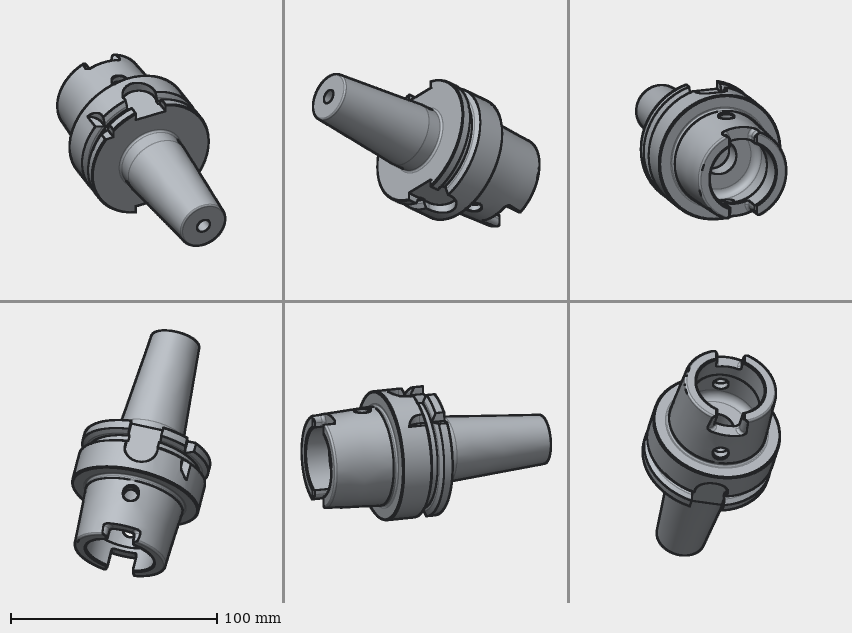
import math

import cadquery as cq


SHANK_LENGTH = 32.0
FLANGE_WIDTH = 26.0
NOSE_END = 85.0

SHANK_END = -SHANK_LENGTH
GAUGE_DIAMETER = 48.01
GAUGE_X = -6.3
TAPER_RATIO = 9.98
SHANK_END_ROUND = 1.0

NECK_DIAMETER = 48.04
RELIEF_START = -2.1
NECK_START = -1.4
RELIEF_ROUND = 0.8
FACE_RELIEF_DEPTH = 0.1
FACE_RELIEF_ANGLE = 8.0

FLANGE_DIAMETER = 63.0
FLANGE_FRONT_CHAMFER = 0.5
FLANGE_BACK_CHAMFER = 0.35
GROOVE_CENTER = 18.0
GROOVE_TOP_WIDTH = 6.7
GROOVE_SHOULDER_WIDTH = 3.8
GROOVE_SHOULDER_DIAMETER = 58.0
GROOVE_FLOOR_WIDTH = 3.0
GROOVE_FLOOR_DIAMETER = 55.0

COLLAR_DIAMETER = 32.0
COLLAR_FILLET = 1.0
NOSE_DIAMETER = 24.0
NOSE_HALF_ANGLE = 4.5
NOSE_ROUND = 0.8

BORE_DIAMETER = 34.0
BORE_CHAMFER = 0.5
CLAMP_EDGE_X = SHANK_END + 12.5
CLAMP_DIAMETER = 40.0
BORE_FLOOR_ROUND = 4.0
BORE_FLOOR_X = 0.0
SEAT_DIAMETER = 16.92
SEAT_DEPTH = 10.0
THROUGH_DIAMETER = 6.92

ACCESS_DIAMETER = 7.5
ACCESS_CHAMFER = 0.5
ACCESS_X = -9.0

DRIVE_WIDTH = 12.54
DRIVE_DEPTH_TOP = 6.0
DRIVE_DEPTH_BOTTOM = 10.0
DRIVE_FLARE_Z = 18.0
DRIVE_FLARE_RADIUS = 3.0
DRIVE_FLOOR_ROUND = 1.5
DRIVE_EDGE_CHAMFER = 0.9

KEYWAY_WIDTH = 16.0
KEYWAY_START = 5.0
KEYWAY_FLOOR = 26.5
NOTCH_WALL = 20.0

CUT_MARGIN = 5.0


def taper_radius(x):
    """Radius of the shank taper at axial position x."""
    return (GAUGE_DIAMETER + (x - GAUGE_X) / TAPER_RATIO) / 2


def make_body():
    """Outer shape of the holder, revolved about X."""
    flange_r = FLANGE_DIAMETER / 2
    neck_r = NECK_DIAMETER / 2
    collar_r = COLLAR_DIAMETER / 2
    nose_r = NOSE_DIAMETER / 2
    diagonal = math.sqrt(0.5)

    round_x = SHANK_END + SHANK_END_ROUND
    round_r = taper_radius(round_x) - SHANK_END_ROUND
    relief_x = FACE_RELIEF_DEPTH - RELIEF_ROUND
    relief_r = neck_r + RELIEF_ROUND
    face_relief_r = relief_r + FACE_RELIEF_DEPTH / math.tan(math.radians(FACE_RELIEF_ANGLE))
    fillet_x = FLANGE_WIDTH + COLLAR_FILLET
    fillet_r = collar_r + COLLAR_FILLET
    cone_start = NOSE_END - (collar_r - nose_r) / math.tan(math.radians(NOSE_HALF_ANGLE))
    nose_round_x = NOSE_END - NOSE_ROUND
    nose_round_r = nose_r + NOSE_ROUND * math.tan(math.radians(NOSE_HALF_ANGLE))

    profile = (
        cq.Workplane("XY")
        .moveTo(SHANK_END, 0)
        .lineTo(SHANK_END, round_r)
        .threePointArc(
            (round_x - SHANK_END_ROUND * diagonal, round_r + SHANK_END_ROUND * diagonal),
            (round_x, round_r + SHANK_END_ROUND),
        )
        .lineTo(RELIEF_START, taper_radius(RELIEF_START))
        .lineTo(NECK_START, neck_r)
        .lineTo(relief_x, neck_r)
        .threePointArc(
            (relief_x + RELIEF_ROUND * diagonal, relief_r - RELIEF_ROUND * diagonal),
            (FACE_RELIEF_DEPTH, relief_r),
        )
        .lineTo(0, face_relief_r)
        .lineTo(0, flange_r - FLANGE_FRONT_CHAMFER)
        .lineTo(FLANGE_FRONT_CHAMFER, flange_r)
        .lineTo(GROOVE_CENTER - GROOVE_TOP_WIDTH / 2, flange_r)
        .lineTo(GROOVE_CENTER - GROOVE_SHOULDER_WIDTH / 2, GROOVE_SHOULDER_DIAMETER / 2)
        .lineTo(GROOVE_CENTER - GROOVE_FLOOR_WIDTH / 2, GROOVE_FLOOR_DIAMETER / 2)
        .lineTo(GROOVE_CENTER + GROOVE_FLOOR_WIDTH / 2, GROOVE_FLOOR_DIAMETER / 2)
        .lineTo(GROOVE_CENTER + GROOVE_SHOULDER_WIDTH / 2, GROOVE_SHOULDER_DIAMETER / 2)
        .lineTo(GROOVE_CENTER + GROOVE_TOP_WIDTH / 2, flange_r)
        .lineTo(FLANGE_WIDTH - FLANGE_BACK_CHAMFER, flange_r)
        .lineTo(FLANGE_WIDTH, flange_r - FLANGE_BACK_CHAMFER)
        .lineTo(FLANGE_WIDTH, fillet_r)
        .threePointArc(
            (fillet_x - COLLAR_FILLET * diagonal, fillet_r - COLLAR_FILLET * diagonal),
            (fillet_x, collar_r),
        )
        .lineTo(cone_start, collar_r)
        .lineTo(nose_round_x, nose_round_r)
        .threePointArc(
            (nose_round_x + NOSE_ROUND * diagonal, nose_round_r - NOSE_ROUND * (1 - diagonal)),
            (NOSE_END, nose_round_r - NOSE_ROUND),
        )
        .lineTo(NOSE_END, 0)
        .close()
    )
    return profile.revolve(360, (0, 0, 0), (1, 0, 0))


def make_bore():
    """Stepped hollow inside the shank, with the through hole, revolved about X."""
    bore_r = BORE_DIAMETER / 2
    clamp_r = CLAMP_DIAMETER / 2
    seat_r = SEAT_DIAMETER / 2
    through_r = THROUGH_DIAMETER / 2
    round_x = BORE_FLOOR_X - BORE_FLOOR_ROUND
    round_r = clamp_r - BORE_FLOOR_ROUND
    reach = BORE_FLOOR_ROUND * math.sqrt(0.5)

    profile = (
        cq.Workplane("XY")
        .moveTo(SHANK_END, 0)
        .lineTo(SHANK_END, bore_r + BORE_CHAMFER)
        .lineTo(SHANK_END + BORE_CHAMFER, bore_r)
        .lineTo(CLAMP_EDGE_X, bore_r)
        .lineTo(CLAMP_EDGE_X, clamp_r)
        .lineTo(round_x, clamp_r)
        .threePointArc((round_x + reach, round_r + reach), (BORE_FLOOR_X, round_r))
        .lineTo(BORE_FLOOR_X, seat_r)
        .lineTo(BORE_FLOOR_X + SEAT_DEPTH, seat_r)
        .lineTo(BORE_FLOOR_X + SEAT_DEPTH, through_r)
        .lineTo(NOSE_END, through_r)
        .lineTo(NOSE_END, 0)
        .close()
    )
    return profile.revolve(360, (0, 0, 0), (1, 0, 0))


def make_access_hole():
    """Chamfered radial hole through the upper shank wall."""
    hole_r = ACCESS_DIAMETER / 2
    surface_z = taper_radius(ACCESS_X)
    top_z = surface_z + ACCESS_CHAMFER
    profile = (
        cq.Workplane("XZ")
        .lineTo(hole_r, 0)
        .lineTo(hole_r, surface_z - ACCESS_CHAMFER)
        .lineTo(hole_r + 2 * ACCESS_CHAMFER, top_z)
        .lineTo(0, top_z)
        .close()
    )
    return profile.revolve(360, (0, 0, 0), (0, 1, 0)).translate((ACCESS_X, 0, 0))


def make_drive_slot(depth):
    """Upper drive slot: straight walls that flare outwards, a rounded floor and chamfered end edges."""
    half = DRIVE_WIDTH / 2
    radius = DRIVE_FLARE_RADIUS
    reach = radius * math.sqrt(0.5)
    flare_y = half + radius
    side_y = flare_y + CUT_MARGIN
    top_z = taper_radius(0) + CUT_MARGIN
    slot = (
        cq.Workplane("YZ", origin=(SHANK_END, 0, 0))
        .moveTo(-half, 0)
        .lineTo(half, 0)
        .lineTo(half, DRIVE_FLARE_Z)
        .threePointArc((flare_y - reach, DRIVE_FLARE_Z + reach), (flare_y, DRIVE_FLARE_Z + radius))
        .lineTo(side_y, DRIVE_FLARE_Z + radius)
        .lineTo(side_y, top_z)
        .lineTo(-side_y, top_z)
        .lineTo(-side_y, DRIVE_FLARE_Z + radius)
        .lineTo(-flare_y, DRIVE_FLARE_Z + radius)
        .threePointArc((reach - flare_y, DRIVE_FLARE_Z + reach), (-half, DRIVE_FLARE_Z))
        .close()
        .extrude(depth)
    )
    floor_corners = cq.selectors.BoxSelector(
        (SHANK_END + depth / 2, -flare_y, DRIVE_FLARE_Z / 4),
        (SHANK_END + depth + CUT_MARGIN, flare_y, DRIVE_FLARE_Z + radius),
    )
    slot = slot.edges(">X").edges(floor_corners).fillet(DRIVE_FLOOR_ROUND)

    wide = half + DRIVE_EDGE_CHAMFER
    chamfer_x = SHANK_END + DRIVE_EDGE_CHAMFER
    edge_breaks = (
        cq.Workplane("XY")
        .polyline([(SHANK_END, -wide), (SHANK_END, wide), (chamfer_x, half), (chamfer_x, -half)])
        .close()
        .extrude(DRIVE_FLARE_Z + reach)
    )
    return slot.union(edge_breaks)


def make_keyway():
    """Upper flange keyway: flat floor, round end, open towards the nose."""
    half = KEYWAY_WIDTH / 2
    return (
        cq.Workplane("XY", origin=(0, 0, KEYWAY_FLOOR))
        .moveTo(FLANGE_WIDTH, -half)
        .lineTo(KEYWAY_START + half, -half)
        .threePointArc((KEYWAY_START, 0), (KEYWAY_START + half, half))
        .lineTo(FLANGE_WIDTH, half)
        .close()
        .extrude(FLANGE_DIAMETER / 2)
    )


def make_notch():
    """Orientation notch in the -Y, +Z quarter of the flange, ended by a round cutter."""
    radius = KEYWAY_WIDTH / 2
    reach = radius * math.sqrt(0.5)
    center_x = KEYWAY_START + radius
    center_y = -NOTCH_WALL - radius
    outside_y = -FLANGE_DIAMETER / 2
    return (
        cq.Workplane("XY", origin=(0, 0, NOTCH_WALL))
        .moveTo(FLANGE_WIDTH, outside_y)
        .lineTo(FLANGE_WIDTH, -NOTCH_WALL)
        .lineTo(center_x, -NOTCH_WALL)
        .threePointArc((center_x - reach, center_y + reach), (KEYWAY_START, center_y))
        .lineTo(KEYWAY_START, outside_y)
        .close()
        .extrude(FLANGE_DIAMETER / 2)
    )


def half_turn(shape):
    """Shape turned to the opposite side of the axis."""
    return shape.rotate((0, 0, 0), (1, 0, 0), 180)


holder = make_body().cut(make_bore())
for cutter in (make_access_hole(), make_keyway()):
    holder = holder.cut(cutter).cut(half_turn(cutter))
holder = holder.cut(make_drive_slot(DRIVE_DEPTH_TOP))
holder = holder.cut(half_turn(make_drive_slot(DRIVE_DEPTH_BOTTOM)))
result = holder.cut(make_notch())